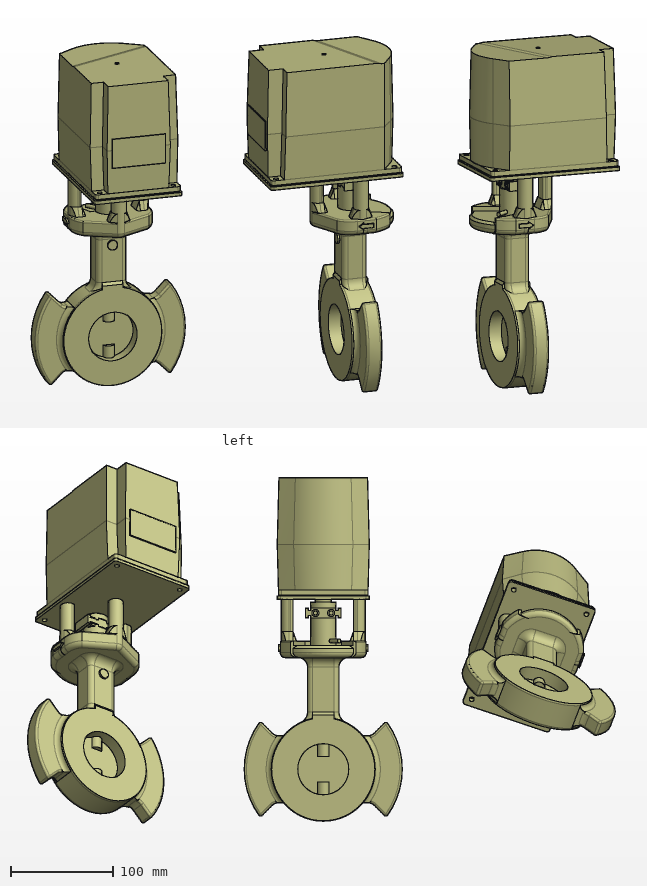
import cadquery as cq
import math


body_radius = 51
body_width = 29.2
body_rim_width = 2
body_rim_taper = 14
bore_dia = 50
disc_thickness = 3
stub_dia = 12
stub_end_z = 12.4

lug_radius = 77.5
lug_thickness = 16
lug_inner_y = 30.6
lug_root_half_height = 33
lug_side_start_y = 47.5
lug_root_fillet = 9
lug_tip_fillet = 2
lug_edge_fillet = 2.2
lug_face_fillet = 5

neck_x = 25
neck_y = 31
neck_corner_radius = 5
neck_bottom_z = 56
neck_top_fillet = 9
shoulder_drop = 3
boss_dia = 10
boss_height = 2
boss_z = 94

flange_nose_radius = 42.2
flange_side_radius = 44
flange_half_y = 42
flange_side_end_y = 32
flange_flat_end_x = 6.5
flange_flank_start_x = 24.6
flange_flank_start_y = 34
flange_bottom_z = 109.2
flange_top_z = 125.5
flange_bottom_fillet = 5
flange_top_fillet = 1.5
sector_rim_chamfer = 2.5
sector_floor_z = 121
sector_outer_half_width = 29
sector_inner_half_width = 18
sector_inner_x = -2
column_radius = 7.5
column_outer_distance = 41.2
column_inner_distance = 29.6
column_inner_fillet = 2.5
foot_top_z = 134.8
foot_spread = 3.5
column_angles = (-90, 0, 90)

arrow_start_x = -10
arrow_neck_x = 0
arrow_tip_x = 5
arrow_shaft_half_height = 2
arrow_head_half_height = 3.5
arrow_z = 118.7
arrow_reach_y = 44

coupling_dia = 25
coupling_top_z = 163.6
spindle_dia = 16
clamp_bottom_z = 148.3
clamp_top_z = 157.8
clamp_front_x = -9.8
clamp_back_x = 11.5
clamp_half_length = 17.6
clamp_block_half_length = 12
ear_thickness = 3
ear_bridge_height = 5
screw_y = 7.7
screw_head_dia = 7
screw_socket_dia = 4
screw_recess = 0.8
screw_socket_depth = 3
pointer_dia = 4
pointer_length = 26
pointer_angle = 217
pointer_z = 125.7

base_bottom_z = 166.3
base_flange_thickness = 3.5
base_gap = 0.8
base_top_z = 175.7
base_min_x = -40.4
base_max_x = 96.2
base_half_y = 45.1
base_corner_radius = 3
tray_inset = 1.1
gap_inset = 2.2
screw_hole_dia = 4.6
screw_hole_margin = 7.3

cover_part_z = 220.3
cover_top_z = 286
cover_front_x = -41.5
cover_curve_radius = 49.5
cover_curve_half_y = 29
cover_half_y = 45.2
cover_back_x = 96
notch_x_at_bottom = 82.2
notch_x_at_part = 81.2
notch_x_at_top = 79.4
corner_notch_y = 32.6
top_inset = 1.7
bottom_inset = 1.2
step_depth = 0.9
step_line_x_at_back = -16.5
step_line_x_at_front = 23.3
step_slope_width = 4.6
dimple_dia = 4
dimple_depth = 0.5
dimple_x = 27.2
side_plate_y = 55
side_plate_bottom_z = 202
side_plate_top_z = 232
overall_x = 139.16
side_plate_outer_x = overall_x - flange_nose_radius

overlap = 1
near = 0.5


def box(x0, x1, y0, y1, z0, z1):
    """Box between two opposite corners."""
    return cq.Workplane("XY").box(x1 - x0, y1 - y0, z1 - z0, centered=False).translate((x0, y0, z0))


def disk(dia, z0, z1):
    """Upright cylinder on the stem axis."""
    return cq.Workplane("XY").workplane(offset=z0).circle(dia / 2).extrude(z1 - z0)


def make_lug():
    """Lug on the +Y side, with its ends cut at 45 degrees."""
    offset = lug_side_start_y - lug_root_half_height
    tip_y = (offset + math.sqrt(2 * lug_radius**2 - offset**2)) / 2
    tip_z = tip_y - offset
    lug = (
        cq.Workplane("YZ")
        .workplane(offset=-lug_thickness / 2)
        .moveTo(lug_inner_y, -lug_root_half_height)
        .lineTo(lug_side_start_y, -lug_root_half_height)
        .lineTo(tip_y, -tip_z)
        .threePointArc((lug_radius, 0), (tip_y, tip_z))
        .lineTo(lug_side_start_y, lug_root_half_height)
        .lineTo(lug_inner_y, lug_root_half_height)
        .close()
        .extrude(lug_thickness)
    )

    def edges_at(y):
        low = (-lug_thickness, y - near, -lug_radius)
        high = (lug_thickness, y + near, lug_radius)
        return cq.selectors.BoxSelector(low, high)

    lug = lug.edges("|X").edges(edges_at(lug_side_start_y)).fillet(lug_root_fillet)
    lug = lug.edges("|X").edges(edges_at(tip_y)).fillet(lug_tip_fillet)
    return lug.faces("<X or >X").edges("not <Y").fillet(lug_edge_fillet)


def make_lug_fillets():
    """Concave ring between the lug faces and the body, limited to the lug roots."""
    face_x = lug_thickness / 2
    far_x = face_x + lug_face_fillet
    outer_r = body_radius + lug_face_fillet
    inner_r = body_radius - overlap
    bend = lug_face_fillet * (1 - math.sqrt(0.5))
    ring = (
        cq.Workplane("XY")
        .moveTo(-far_x, inner_r)
        .lineTo(-far_x, body_radius)
        .threePointArc((-face_x - bend, body_radius + bend), (-face_x, outer_r))
        .lineTo(face_x, outer_r)
        .threePointArc((face_x + bend, body_radius + bend), (far_x, body_radius))
        .lineTo(far_x, inner_r)
        .close()
        .revolve(360, (0, 0, 0), (1, 0, 0))
    )
    root_zone = box(
        -far_x, far_x, -lug_radius, lug_radius, -lug_root_half_height, lug_root_half_height
    )
    return ring.intersect(root_zone)


def make_shoulder():
    """Flare from the neck down onto the body, tangent to both in the YZ plane."""
    half_y = neck_y / 2
    flare_r = (half_y**2 + neck_bottom_z**2 - body_radius**2) / (2 * (body_radius - half_y))
    centre_y = half_y + flare_r
    touch = body_radius / (body_radius + flare_r)
    mid_angle = math.pi + math.atan2(neck_bottom_z, centre_y) / 2
    mid_y = centre_y + flare_r * math.cos(mid_angle)
    mid_z = neck_bottom_z + flare_r * math.sin(mid_angle)
    touch_y = centre_y * touch
    touch_z = neck_bottom_z * touch
    floor_z = bore_dia / 2 + overlap
    flare = (
        cq.Workplane("YZ")
        .workplane(offset=-neck_x / 2)
        .moveTo(-half_y, neck_bottom_z)
        .threePointArc((-mid_y, mid_z), (-touch_y, touch_z))
        .lineTo(-touch_y, floor_z)
        .lineTo(touch_y, floor_z)
        .lineTo(touch_y, touch_z)
        .threePointArc((mid_y, mid_z), (half_y, neck_bottom_z))
        .close()
        .extrude(neck_x)
    )
    outer_edges = cq.selectors.BoxSelector(
        (-neck_x, -touch_y, touch_z), (neck_x, touch_y, neck_bottom_z - overlap)
    )
    flare = flare.faces("<X or >X").edges(outer_edges).fillet(neck_corner_radius)
    taper_z = neck_bottom_z - shoulder_drop
    side_taper = (
        cq.Workplane("XZ")
        .polyline([
            (-body_width / 2, floor_z),
            (-body_width / 2, taper_z),
            (-neck_x / 2, neck_bottom_z),
            (neck_x / 2, neck_bottom_z),
            (body_width / 2, taper_z),
            (body_width / 2, floor_z),
        ])
        .close()
        .extrude(neck_y / 2 - neck_corner_radius, both=True)
    )
    return flare.union(side_taper)


def make_valve_body():
    """Wafer body with lugs, neck shoulder, bore, closed disc and stem stubs."""
    core_half = body_width / 2 - body_rim_width
    body = cq.Workplane("YZ").circle(body_radius).extrude(core_half, both=True)
    rim = (
        cq.Workplane("YZ")
        .workplane(offset=core_half)
        .circle(body_radius)
        .extrude(body_rim_width, taper=body_rim_taper)
    )
    body = body.union(rim).union(rim.mirror("YZ"))
    lug = make_lug()
    body = body.union(lug).union(lug.mirror("XZ")).union(make_lug_fillets()).union(make_shoulder())
    body = body.cut(cq.Workplane("YZ").circle(bore_dia / 2).extrude(body_width, both=True))
    disc = cq.Workplane("YZ").circle(bore_dia / 2 + overlap).extrude(disc_thickness / 2, both=True)
    stub = disk(stub_dia, stub_end_z, bore_dia / 2 + overlap)
    return body.union(disc).union(stub).union(stub.mirror("XY"))


def rim_side_x():
    """X of the shoulders where the side arcs of the flange meet its nose."""
    return -math.sqrt(flange_side_radius**2 - flange_side_end_y**2)


def make_flange_blank(z0, z1):
    """Slab with the flange outline behind the nose: flat sides, and flanks running to the +X column."""
    side_x = rim_side_x()
    flat_start_x = -math.sqrt(flange_side_radius**2 - flange_half_y**2)
    side_mid_angle = (
        math.atan2(flange_side_end_y, side_x) + math.atan2(flange_half_y, flat_start_x)
    ) / 2
    side_mid_x = flange_side_radius * math.cos(side_mid_angle)
    side_mid_y = flange_side_radius * math.sin(side_mid_angle)
    cap_x = column_outer_distance - column_radius
    run_x = flange_flank_start_x - cap_x
    run = math.hypot(run_x, flange_flank_start_y)
    cap_angle = math.atan2(flange_flank_start_y, run_x) - math.acos(column_radius / run)
    cap_end_x = cap_x + column_radius * math.cos(cap_angle)
    cap_end_y = column_radius * math.sin(cap_angle)
    half = (
        cq.Workplane("XY")
        .workplane(offset=z0)
        .moveTo(side_x, flange_side_end_y)
        .threePointArc((side_mid_x, side_mid_y), (flat_start_x, flange_half_y))
        .lineTo(flange_flat_end_x, flange_half_y)
        .tangentArcPoint((flange_flank_start_x, flange_flank_start_y), relative=False)
        .lineTo(cap_end_x, cap_end_y)
        .threePointArc(
            (cap_x + column_radius * math.cos(cap_angle / 2), column_radius * math.sin(cap_angle / 2)),
            (column_outer_distance, 0),
        )
        .lineTo(side_x, 0)
        .close()
        .extrude(z1 - z0)
    )
    return half.union(half.mirror("XZ"))


def make_neck_and_flange():
    """Bracket flange on the rounded neck, with the indicator sector cut into it."""
    flange = make_flange_blank(flange_bottom_z, flange_top_z)
    flange = flange.faces("<Z").edges("not <X").fillet(flange_bottom_fillet)
    flange = flange.faces(">Z").edges("not <X").fillet(flange_top_fillet)
    nose = disk(2 * flange_nose_radius, flange_bottom_z, sector_floor_z)
    nose = nose.faces("<Z").edges().fillet(flange_bottom_fillet)
    nose = nose.faces(">Z").edges().chamfer(sector_rim_chamfer)
    reach = 2 * flange_nose_radius
    nose = nose.cut(box(0, reach, -reach, reach, 0, flange_top_z))
    flange = flange.union(nose)
    neck = (
        cq.Workplane("XY")
        .workplane(offset=neck_bottom_z)
        .rect(neck_x, neck_y)
        .extrude(flange_bottom_z - neck_bottom_z)
        .edges("|Z")
        .fillet(neck_corner_radius)
    )
    joined = flange.union(neck)
    junction = cq.selectors.BoxSelector(
        (-neck_x, -neck_y, flange_bottom_z - near), (neck_x, neck_y, flange_bottom_z + near)
    )
    joined = joined.edges(junction).fillet(neck_top_fillet)
    rim_x = rim_side_x()
    slope = (sector_outer_half_width - sector_inner_half_width) / (sector_inner_x - rim_x)
    outside_x = -flange_nose_radius - overlap
    outside_half = sector_outer_half_width + slope * (rim_x - outside_x)
    sector = (
        cq.Workplane("XY")
        .workplane(offset=sector_floor_z)
        .polyline([
            (sector_inner_x, -sector_inner_half_width),
            (sector_inner_x, sector_inner_half_width),
            (outside_x, outside_half),
            (outside_x, -outside_half),
        ])
        .close()
        .extrude(flange_top_z - sector_floor_z)
    )
    boss = (
        cq.Workplane("YZ")
        .workplane(offset=neck_x / 2 - overlap)
        .center(0, boss_z)
        .circle(boss_dia / 2)
        .extrude(boss_height + overlap)
    )
    return joined.cut(sector).union(boss)


def make_column():
    """Column at +X: round outside, flat with rounded corners inside, on a flared foot."""
    centre = column_outer_distance - column_radius

    def outline(z):
        return (
            cq.Workplane("XY")
            .workplane(offset=z)
            .moveTo(column_inner_distance, -column_radius)
            .lineTo(centre, -column_radius)
            .threePointArc((column_outer_distance, 0), (centre, column_radius))
            .lineTo(column_inner_distance, column_radius)
            .close()
        )

    column = outline(sector_floor_z).extrude(base_bottom_z + overlap - sector_floor_z)
    column = column.edges("|Z and <X").fillet(column_inner_fillet)
    foot_height = foot_top_z - flange_top_z
    foot_angle = math.degrees(math.atan(foot_spread / foot_height))
    foot = outline(foot_top_z).extrude(-foot_height, taper=-foot_angle)
    foot = foot.intersect(make_flange_blank(flange_top_z, foot_top_z))
    return column.union(foot)


def make_flow_arrows():
    """Arrow pointing along +X, raised on both sides of the flange rim."""
    root_y = flange_half_y - 2 * overlap
    arrow = (
        cq.Workplane("XZ")
        .workplane(offset=root_y)
        .polyline([
            (arrow_start_x, arrow_z - arrow_shaft_half_height),
            (arrow_neck_x, arrow_z - arrow_shaft_half_height),
            (arrow_neck_x, arrow_z - arrow_head_half_height),
            (arrow_tip_x, arrow_z),
            (arrow_neck_x, arrow_z + arrow_head_half_height),
            (arrow_neck_x, arrow_z + arrow_shaft_half_height),
            (arrow_start_x, arrow_z + arrow_shaft_half_height),
        ])
        .close()
        .extrude(arrow_reach_y - root_y)
    )
    return arrow.union(arrow.mirror("XZ"))


def make_coupling():
    """Stem coupling with a screwed clamp, the actuator spindle and the position pointer."""
    coupling = disk(coupling_dia, sector_floor_z - overlap, coupling_top_z)
    reach = coupling_dia
    for x0, x1 in ((-reach, clamp_front_x), (clamp_back_x, reach)):
        coupling = coupling.cut(box(x0, x1, -reach, reach, clamp_bottom_z, clamp_top_z))
    mid_z = (clamp_bottom_z + clamp_top_z) / 2
    half_bridge = ear_bridge_height / 2
    bridge = box(
        clamp_front_x, clamp_back_x, -clamp_half_length, clamp_half_length,
        mid_z - half_bridge, mid_z + half_bridge,
    )
    ear_inner_y = clamp_half_length - ear_thickness
    ear = box(clamp_front_x, clamp_back_x, ear_inner_y, clamp_half_length, clamp_bottom_z, clamp_top_z)
    block = box(
        clamp_front_x, -clamp_front_x, -clamp_block_half_length, clamp_block_half_length,
        clamp_bottom_z, clamp_top_z,
    )
    coupling = coupling.union(block).union(bridge).union(ear).union(ear.mirror("XZ"))
    for dia, depth in ((screw_head_dia, screw_recess), (screw_socket_dia, screw_socket_depth)):
        recess = (
            cq.Workplane("YZ")
            .workplane(offset=clamp_front_x)
            .pushPoints([(-screw_y, mid_z), (screw_y, mid_z)])
            .circle(dia / 2)
            .extrude(depth)
        )
        coupling = coupling.cut(recess)
    pointer = (
        cq.Workplane("YZ")
        .circle(pointer_dia / 2)
        .extrude(pointer_length)
        .rotate((0, 0, 0), (0, 0, 1), pointer_angle)
        .translate((0, 0, pointer_z))
    )
    spindle = disk(spindle_dia, coupling_top_z - overlap, base_bottom_z + overlap)
    return coupling.union(pointer).union(spindle)


def make_base():
    """Actuator base: flange, narrow gap and tray, with four screw holes."""

    def slab(inset, z0, z1):
        plate = box(
            base_min_x + inset, base_max_x - inset, inset - base_half_y, base_half_y - inset, z0, z1
        )
        return plate.edges("|Z").fillet(base_corner_radius)

    gap_z = base_bottom_z + base_flange_thickness
    tray_z = gap_z + base_gap
    base = slab(0, base_bottom_z, gap_z)
    base = base.union(slab(gap_inset, gap_z, tray_z)).union(slab(tray_inset, tray_z, base_top_z))
    hole_y = base_half_y - screw_hole_margin
    hole_points = [
        (x, y)
        for x in (base_min_x + screw_hole_margin, base_max_x - screw_hole_margin)
        for y in (-hole_y, hole_y)
    ]
    holes = (
        cq.Workplane("XY")
        .workplane(offset=base_bottom_z)
        .pushPoints(hole_points)
        .circle(screw_hole_dia / 2)
        .extrude(base_top_z - base_bottom_z)
    )
    return base.cut(holes)


def cover_section(workplane, inset, notch_x):
    """Outline of the cover, drawn in from its widest size by the inset."""
    front_x = cover_front_x + inset
    half_y = cover_half_y - inset
    back_x = cover_back_x - inset
    notch_y = corner_notch_y - inset
    curve_y = cover_curve_half_y - inset
    sweep = math.asin(curve_y / cover_curve_radius)
    curve_x = front_x + cover_curve_radius * (1 - math.cos(sweep))
    flank_x = curve_x + (half_y - curve_y) * math.tan(sweep)
    return (
        workplane.moveTo(curve_x, -curve_y)
        .lineTo(flank_x, -half_y)
        .lineTo(notch_x, -half_y)
        .lineTo(notch_x, -notch_y)
        .lineTo(back_x, -notch_y)
        .lineTo(back_x, notch_y)
        .lineTo(notch_x, notch_y)
        .lineTo(notch_x, half_y)
        .lineTo(flank_x, half_y)
        .lineTo(curve_x, curve_y)
        .threePointArc((front_x, 0), (curve_x, -curve_y))
        .close()
    )


def make_cover_half(end_z, end_inset, end_notch_x):
    """One half of the cover, from the parting line to its narrower end."""
    half = cover_section(cq.Workplane("XY").workplane(offset=cover_part_z), 0, notch_x_at_part)
    half = cover_section(half.workplane(offset=end_z - cover_part_z), end_inset, end_notch_x)
    return half.loft(ruled=True)


def make_cover():
    """Cover with a lowered front part of the roof, a dimple and a side plate."""
    lower_half = make_cover_half(base_top_z, bottom_inset, notch_x_at_bottom)
    upper_half = make_cover_half(cover_top_z, top_inset, notch_x_at_top)
    cover = lower_half.union(upper_half)
    half_run = (step_line_x_at_front - step_line_x_at_back) / 2
    mid_x = (step_line_x_at_front + step_line_x_at_back) / 2
    turn = math.degrees(math.atan2(half_run, cover_half_y))
    half_slope = step_slope_width * math.cos(math.radians(turn)) / 2
    reach = 2 * cover_half_y
    lowered = (
        cq.Workplane("XZ")
        .polyline([
            (-reach, cover_top_z - step_depth),
            (-half_slope, cover_top_z - step_depth),
            (half_slope, cover_top_z),
            (-reach, cover_top_z),
        ])
        .close()
        .extrude(reach, both=True)
        .rotate((0, 0, 0), (0, 0, 1), turn)
        .translate((mid_x, 0, 0))
    )
    dimple = disk(dimple_dia, cover_top_z - dimple_depth, cover_top_z).translate((dimple_x, 0, 0))
    side_plate = box(
        cover_back_x - 2 * overlap, side_plate_outer_x, -side_plate_y / 2, side_plate_y / 2,
        side_plate_bottom_z, side_plate_top_z,
    )
    return cover.cut(lowered).cut(dimple).union(side_plate)


result = make_valve_body().union(make_neck_and_flange())
for angle in column_angles:
    result = result.union(make_column().rotate((0, 0, 0), (0, 0, 1), angle))
result = result.union(make_flow_arrows()).union(make_coupling())
result = result.union(make_base()).union(make_cover())